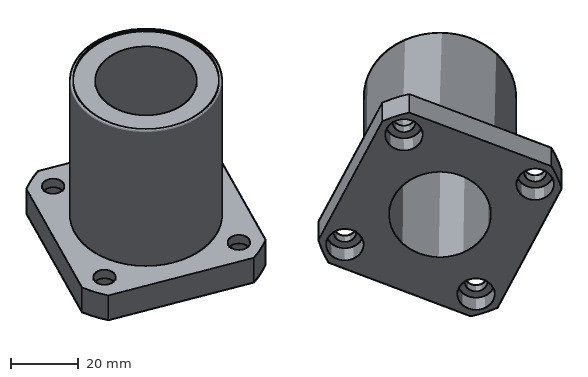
import cadquery as cq

total_height = 64.0

flange_side = 58.0
flange_corner_diameter = 74.0
flange_thickness = 10.0

sleeve_diameter = 45.0
sleeve_edge_radius = 0.5
bore_diameter = 30.0
end_recess_diameter = 43.0
end_recess_depth = 0.5

bolt_circle_diameter = 60.0
bolt_hole_diameter = 6.6
counterbore_diameter = 11.0
counterbore_depth = 6.5
bolt_count = 4
first_bolt_angle = 45


def make_flange():
    """Square plate whose corners follow a circle about the bore axis."""
    square = cq.Workplane("XY").rect(flange_side, flange_side).extrude(flange_thickness)
    disc = cq.Workplane("XY").circle(flange_corner_diameter / 2).extrude(flange_thickness)
    return square.intersect(disc)


def make_sleeve():
    """Cylinder with a rounded top edge."""
    sleeve = cq.Workplane("XY").circle(sleeve_diameter / 2).extrude(total_height)
    return sleeve.faces(">Z").edges().fillet(sleeve_edge_radius)


def make_bore():
    return cq.Workplane("XY").circle(bore_diameter / 2).extrude(total_height)


def make_end_recess():
    """Shallow recess that leaves a thin rim around the top of the sleeve."""
    recess_floor = total_height - end_recess_depth
    return (
        cq.Workplane("XY")
        .workplane(offset=recess_floor)
        .circle(end_recess_diameter / 2)
        .extrude(end_recess_depth)
    )


def make_bolt_pattern(diameter, depth):
    """One upright cylinder per bolt, rising from the underside of the flange."""
    return (
        cq.Workplane("XY")
        .polarArray(bolt_circle_diameter / 2, first_bolt_angle, 360, bolt_count)
        .circle(diameter / 2)
        .extrude(depth)
    )


body = make_flange().union(make_sleeve())
body = body.cut(make_bore()).cut(make_end_recess())
body = body.cut(make_bolt_pattern(bolt_hole_diameter, flange_thickness))
result = body.cut(make_bolt_pattern(counterbore_diameter, counterbore_depth))